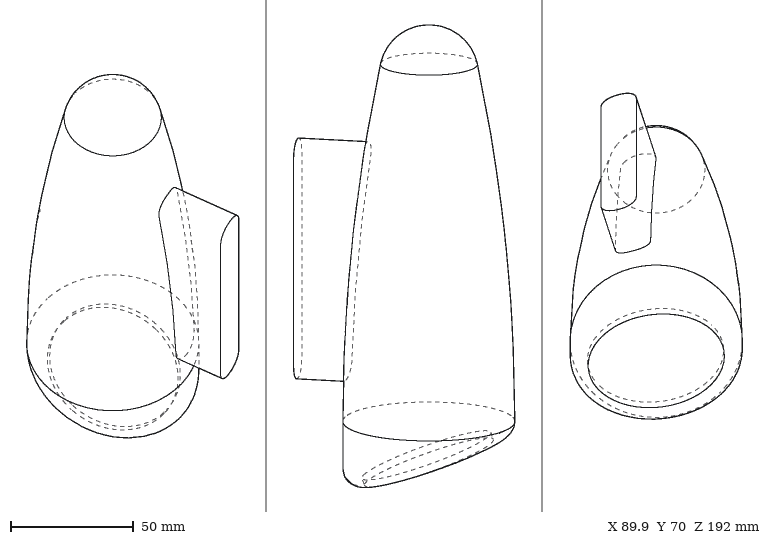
import cadquery as cq
import math

total_height = 192.0
body_diameter = 70.0
base_top = 26.9
dome_bottom = 176.0
dome_radius = 19.8
face_tilt = 20.0
rim_fillet = 7.0
lens_diameter = 55.7
lens_thickness = 3.0
overall_length = 89.9
bracket_width = 15.0
bracket_bottom = 42.0
bracket_height = 100.0
bracket_fillet = 7.0

body_radius = body_diameter / 2
bracket_end = overall_length - body_radius

tilt = math.radians(face_tilt)
ball_path_radius = body_radius - rim_fillet
ball_plane_height = rim_fillet + ball_path_radius * math.tan(tilt)
face_center_height = ball_plane_height - rim_fillet / math.cos(tilt)


def make_dome():
    """Spherical cap closing the narrow end of the shell."""
    cap_height = total_height - dome_bottom
    sphere_radius = (dome_radius**2 + cap_height**2) / (2 * cap_height)
    sphere_center = total_height - sphere_radius
    half_angle = math.asin(dome_radius / sphere_radius)
    mid_point = (
        sphere_radius * math.sin(half_angle / 2),
        sphere_center + sphere_radius * math.cos(half_angle / 2),
    )
    return (
        cq.Workplane("XZ")
        .moveTo(0, dome_bottom)
        .lineTo(dome_radius, dome_bottom)
        .threePointArc(mid_point, (0, total_height))
        .close()
        .revolve(360, (0, 0), (0, 1))
    )


def make_shell():
    """Tapered body whose side is one arc, vertical where it meets the base."""
    rise = dome_bottom - base_top
    taper = body_radius - dome_radius
    arc_radius = (rise**2 + taper**2) / (2 * taper)
    half_sweep = math.asin(rise / arc_radius) / 2
    mid_point = (
        body_radius - arc_radius * (1 - math.cos(half_sweep)),
        base_top + arc_radius * math.sin(half_sweep),
    )
    return (
        cq.Workplane("XZ")
        .moveTo(0, base_top)
        .lineTo(body_radius, base_top)
        .threePointArc(mid_point, (dome_radius, dome_bottom))
        .lineTo(0, dome_bottom)
        .close()
        .revolve(360, (0, 0), (0, 1))
    )


def make_lens():
    """Round plate set flush into the middle of the sloping lower face."""
    face_plane = cq.Plane(
        origin=(0, 0, face_center_height),
        xDir=(math.cos(tilt), 0, -math.sin(tilt)),
        normal=(math.sin(tilt), 0, math.cos(tilt)),
    )
    return cq.Workplane(face_plane).circle(lens_diameter / 2).extrude(lens_thickness)


def make_base(lens):
    """Round base with a sloping, filleted lower face, recessed for the lens."""
    blank_top = 2 * base_top
    face_drop = body_radius * math.tan(tilt)
    side_outline = [
        (-body_radius, face_center_height + face_drop),
        (body_radius, face_center_height - face_drop),
        (body_radius, blank_top),
        (-body_radius, blank_top),
    ]
    wedge = cq.Workplane("XZ").polyline(side_outline).close().extrude(body_radius, both=True)
    blank_bottom = face_center_height - face_drop
    cylinder = (
        cq.Workplane("XY", origin=(0, 0, blank_bottom))
        .circle(body_radius)
        .extrude(blank_top - blank_bottom)
    )
    blank = cylinder.intersect(wedge).faces("<Z").edges().fillet(rim_fillet)
    above_seam = cq.Workplane("XY", origin=(0, 0, base_top)).circle(2 * body_radius).extrude(base_top)
    return blank.cut(above_seam).cut(lens).solids()


def make_bracket(shell):
    """Mounting bar along X with rounded long edges, fitted against the shell."""
    bar = (
        cq.Workplane("XY", origin=(0, 0, bracket_bottom))
        .box(bracket_end, bracket_width, bracket_height, centered=(False, True, False))
        .edges("|X")
        .fillet(bracket_fillet)
    )
    return bar.cut(shell).solids()


dome = make_dome()
shell = make_shell()
lens = make_lens()
base = make_base(lens)
bracket = make_bracket(shell)

result = cq.Compound.makeCompound([dome.val(), shell.val(), base.val(), lens.val(), bracket.val()])